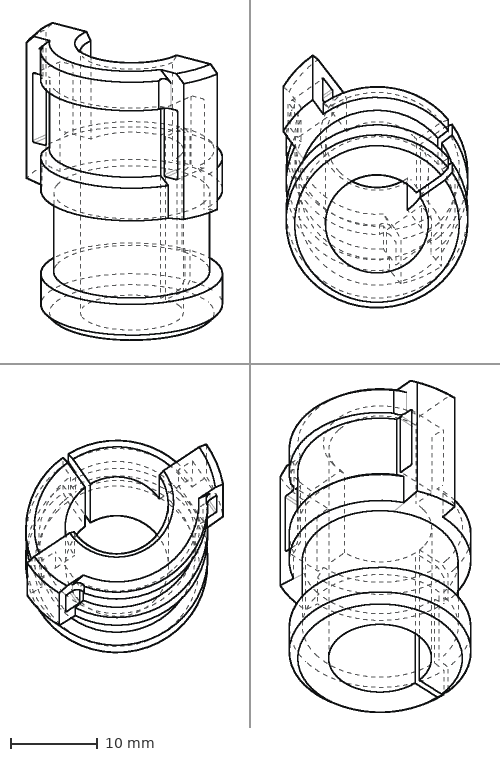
import cadquery as cq
import math

total_height = 33.0
lower_flange_edge = 4.75
upper_flange_edge = 15.0
upper_flange_top = 20.0
top_ring_bottom = 28.5

flange_radius = 10.5
groove_radius = 9.0
bore_radius = 5.95
lug_radius = 12.5

edge_chamfer = 1.0
shoulder_angle = math.radians(10)
mouth_chamfer_width = 0.63
neck_radius = flange_radius - edge_chamfer

lug_depth = 5.0
root_fillet = 1.0
window_width = 1.95
window_corner = 0.23

slit_width = 0.73

shoulder_slope = math.tan(shoulder_angle)
shoulder_rise = (flange_radius - groove_radius) * shoulder_slope
root_y = -(lug_depth + root_fillet)
root_x = math.sqrt(flange_radius**2 - root_y**2)


def revolve_profile(points):
    """Solid of revolution about Z from (radius, height) points."""
    return cq.Workplane("YZ").polyline(points).close().revolve(360, (0, 0, 0), (0, 1, 0))


def block(x_min, x_max, y_min, y_max, z_min, z_max):
    """Axis-aligned box given by its limits."""
    size = (x_max - x_min, y_max - y_min, z_max - z_min)
    return cq.Workplane("XY").box(*size, centered=False).translate((x_min, y_min, z_min))


def make_sleeve():
    """Full-round lower body: two flanges with a groove between them."""
    return revolve_profile([
        (0, 0),
        (flange_radius - edge_chamfer, 0),
        (flange_radius, edge_chamfer),
        (flange_radius, lower_flange_edge),
        (groove_radius, lower_flange_edge + shoulder_rise),
        (groove_radius, upper_flange_edge - shoulder_rise),
        (flange_radius, upper_flange_edge),
        (flange_radius, upper_flange_top - edge_chamfer),
        (flange_radius - edge_chamfer, upper_flange_top),
        (0, upper_flange_top),
    ])


def make_top_ring():
    """Front half of the top ring, with concave roots toward the lugs and a conical top edge."""
    height = total_height - top_ring_bottom
    fillet_end_x = root_x + root_fillet
    arc_offset = root_fillet * math.sqrt(0.5)
    arc_mid = (fillet_end_x - arc_offset, root_y + arc_offset)
    ring = (
        cq.Workplane("XY", origin=(0, 0, top_ring_bottom))
        .moveTo(-fillet_end_x, 0)
        .lineTo(-fillet_end_x, -lug_depth)
        .threePointArc((-arc_mid[0], arc_mid[1]), (-root_x, root_y))
        .threePointArc((0, -flange_radius), (root_x, root_y))
        .threePointArc(arc_mid, (fillet_end_x, -lug_depth))
        .lineTo(fillet_end_x, 0)
        .close()
        .extrude(height)
    )

    cone = revolve_profile([
        (0, top_ring_bottom),
        (neck_radius + height, top_ring_bottom),
        (neck_radius, total_height),
        (0, total_height),
    ])
    return ring.intersect(cone)


def make_neck():
    """Half-round neck joining the upper flange to the top ring."""
    half_neck = (
        cq.Workplane("XY", origin=(0, 0, upper_flange_top))
        .moveTo(-neck_radius, 0)
        .threePointArc((0, -neck_radius), (neck_radius, 0))
        .close()
    )
    return half_neck.extrude(top_ring_bottom - upper_flange_top)


def make_lugs():
    """Two side lugs: a slice of a larger round, with a sloped underside."""
    lug_bottom = upper_flange_edge + (lug_radius - flange_radius) * shoulder_slope
    body = revolve_profile([
        (0, upper_flange_edge - shoulder_rise),
        (groove_radius, upper_flange_edge - shoulder_rise),
        (lug_radius, lug_bottom),
        (lug_radius, total_height - edge_chamfer),
        (lug_radius - edge_chamfer, total_height),
        (0, total_height),
    ])
    return body.intersect(block(-lug_radius, lug_radius, -lug_depth, 0, 0, total_height))


def make_window(side):
    """Rounded rectangular opening along Y through the lug on one side (-1 or 1)."""
    height = top_ring_bottom - upper_flange_top
    center_x = side * (root_x + window_width / 2)
    return (
        cq.Workplane("XY")
        .box(window_width, lug_depth, height)
        .edges("|Y")
        .fillet(window_corner)
        .translate((center_x, -lug_depth / 2, upper_flange_top + height / 2))
    )


def make_bore():
    """Through bore with a steep chamfer at the upper mouth."""
    return revolve_profile([
        (0, 0),
        (bore_radius, 0),
        (bore_radius, total_height - edge_chamfer),
        (bore_radius + mouth_chamfer_width, total_height),
        (0, total_height),
    ])


slit = block(-slit_width / 2, slit_width / 2, 0, flange_radius, 0, total_height)

body = make_sleeve().union(make_neck()).union(make_top_ring()).union(make_lugs())
for side in (-1, 1):
    body = body.cut(make_window(side))
result = body.cut(make_bore()).cut(slit)